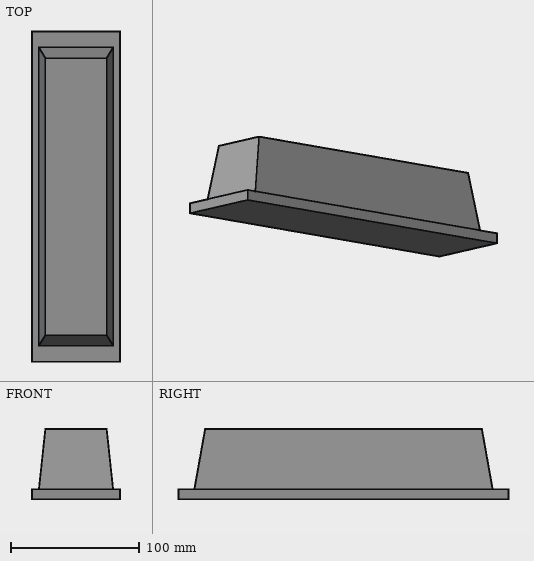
import cadquery as cq

flange_width = 69.0
flange_length = 258.0
flange_thickness = 8.0
total_height = 55.0

block_base_width = 58.0
block_base_length = 233.0
block_top_width = 48.0
block_top_length = 216.2
block_height = total_height - flange_thickness

flange = cq.Workplane("XY").box(
    flange_width, flange_length, flange_thickness, centered=(True, True, False)
)

block = (
    cq.Workplane("XY", origin=(0, 0, flange_thickness))
    .rect(block_base_width, block_base_length)
    .workplane(offset=block_height)
    .rect(block_top_width, block_top_length)
    .loft(ruled=True)
)

result = flange.union(block)